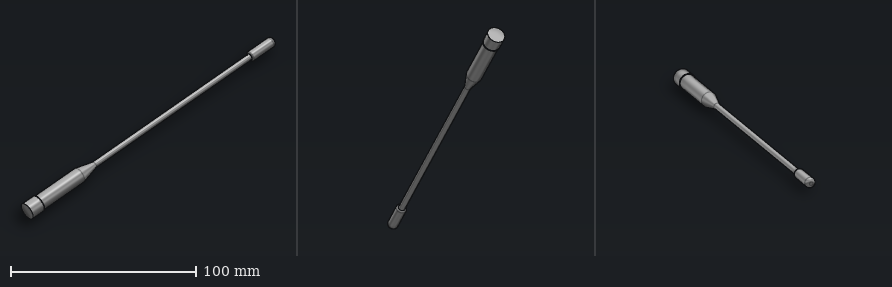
import cadquery as cq

total_length = 177.3
collar_length = 8.3
grip_end = 37.5
taper_end = 48.4
cap_length = 16.8
cap_start = total_length - cap_length
tip_radius = 2.0
cap_rear_radius = 0.5

collar_diameter = 10.0
grip_diameter = 9.0
rod_diameter = 3.7
cap_diameter = 6.0


def cylinder(diameter, start, end):
    """Solid round section along +Y from start to end."""
    return (
        cq.Workplane("XZ", origin=(0, start, 0))
        .circle(diameter / 2)
        .extrude(start - end)
    )


def taper():
    """Cone that narrows from the grip to the rod."""
    profile = [
        (0, grip_end),
        (grip_diameter / 2, grip_end),
        (rod_diameter / 2, taper_end),
        (0, taper_end),
    ]
    return cq.Workplane("XY").polyline(profile).close().revolve(360, (0, 0, 0), (0, 1, 0))


def cap():
    """Cap at the thin end, with a well rounded tip and a softened rear edge."""
    body = cylinder(cap_diameter, cap_start, total_length)
    body = body.faces(">Y").edges().fillet(tip_radius)
    return body.faces("<Y").edges().fillet(cap_rear_radius)


collar = cylinder(collar_diameter, 0, collar_length)
grip = cylinder(grip_diameter, collar_length, grip_end)
rod = cylinder(rod_diameter, taper_end, cap_start)

result = collar.union(grip).union(taper()).union(rod).union(cap())